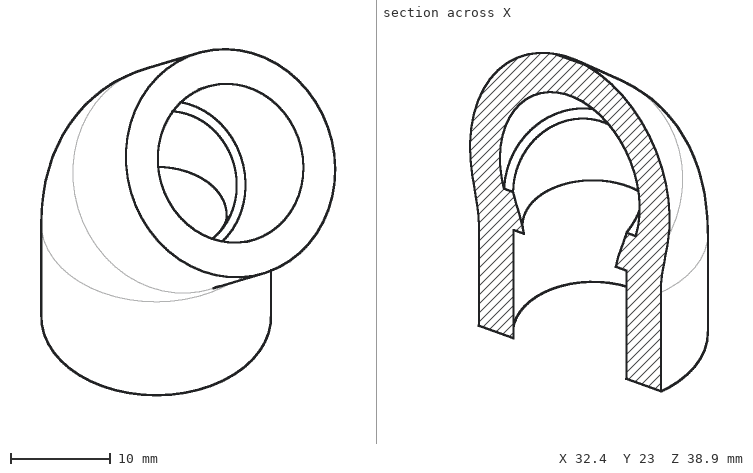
import cadquery as cq
import math

BEND_ANGLE = 45.0
BEND_RADIUS = 12.5
CENTRE_TO_END = 18.0
OUTER_DIAMETER = 23.0
PASSAGE_DIAMETER = 14.0
SOCKET_DIAMETER = 16.0
SOCKET_DEPTH = 14.0

LEG_LENGTH = CENTRE_TO_END - BEND_RADIUS * math.tan(math.radians(BEND_ANGLE / 2))


def end_cylinder(diameter, length):
    """Cylinder that starts at the lower end face and runs up the leg axis."""
    return cq.Workplane("XY").circle(diameter / 2).extrude(length)


def on_upper_end(lower_end_shape):
    """Copy a shape made at the lower end to the matching place at the upper end."""
    crossing = (0, 0, CENTRE_TO_END)
    flipped = lower_end_shape.rotate(crossing, (1, 0, CENTRE_TO_END), 180)
    return flipped.rotate(crossing, (0, 1, CENTRE_TO_END), BEND_ANGLE)


def bend(diameter):
    """Curved stretch that joins the two legs, turning toward +X."""
    return (
        cq.Workplane("XY", origin=(0, 0, LEG_LENGTH))
        .circle(diameter / 2)
        .revolve(BEND_ANGLE, (BEND_RADIUS, 0, 0), (BEND_RADIUS, 1, 0))
    )


def bent_rod(diameter):
    """Solid rod that follows the pipe axis from one end face to the other."""
    leg = end_cylinder(diameter, LEG_LENGTH)
    return bend(diameter).union(leg).union(on_upper_end(leg))


body = bent_rod(OUTER_DIAMETER)
passage = bent_rod(PASSAGE_DIAMETER)
socket = end_cylinder(SOCKET_DIAMETER, SOCKET_DEPTH)

result = body.cut(passage).cut(socket).cut(on_upper_end(socket))